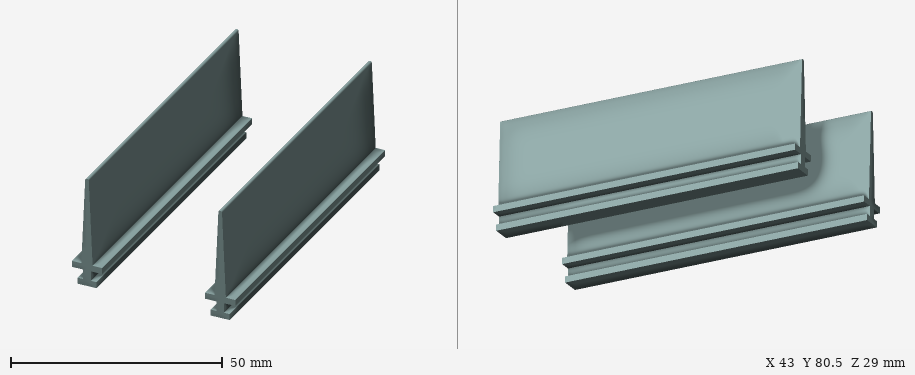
import cadquery as cq

rail_length = 80.5
rail_pitch = 35.0
rail_height = 29.0

foot_width = 5.0
foot_thickness = 1.6
neck_width = 2.0
neck_height = 2.6

flange_width = 8.0
flange_thickness = 1.6
flange_bottom = foot_thickness + neck_height
flange_top = flange_bottom + flange_thickness

blade_root_width = 3.0
blade_tip_width = 1.0
tip_radius = blade_tip_width / 2
tip_round_start = rail_height - tip_radius


def make_plate(width, bottom, height):
    """Full-length rectangular bar centred on X and Y, standing on the given level."""
    return (
        cq.Workplane("XY")
        .workplane(offset=bottom)
        .rect(width, rail_length)
        .extrude(height)
    )


def make_blade():
    """Blade that tapers from the flange up to its rounded tip."""
    return (
        cq.Workplane("XZ")
        .moveTo(-blade_root_width / 2, flange_top)
        .lineTo(blade_root_width / 2, flange_top)
        .lineTo(tip_radius, tip_round_start)
        .threePointArc((0, rail_height), (-tip_radius, tip_round_start))
        .close()
        .extrude(rail_length / 2, both=True)
    )


def make_rail(center_x):
    """One complete rail: foot, neck, flange and blade."""
    foot = make_plate(foot_width, 0, foot_thickness)
    neck = make_plate(neck_width, foot_thickness, neck_height)
    flange = make_plate(flange_width, flange_bottom, flange_thickness)
    rail = foot.union(neck).union(flange).union(make_blade())
    return rail.translate((center_x, 0, 0))


rails = [make_rail(side * rail_pitch / 2) for side in (-1, 1)]

result = cq.Compound.makeCompound([rail.val() for rail in rails])